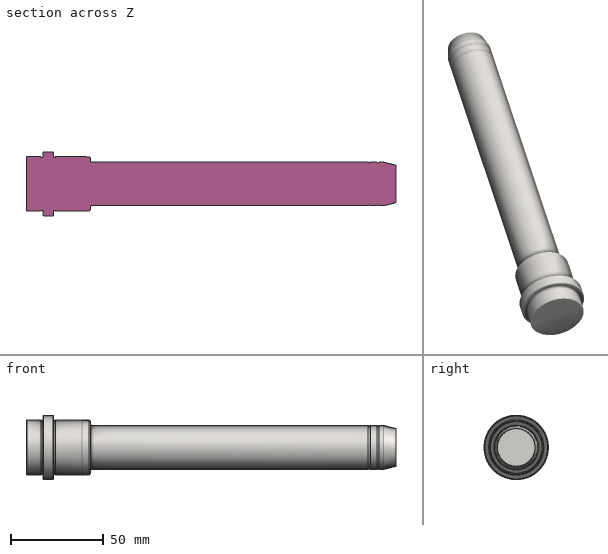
import cadquery as cq
import math

total_length = 201.0

head_diameter = 30.0
head_length = 35.0
head_end_chamfer = 0.8
face_chamfer = 0.5
lead_start = 30.2
lead_diameter = 29.7

flange_diameter = 35.0
flange_start = 9.0
flange_end = 14.9
flange_chamfer = 0.5
undercut_width = 1.0
undercut_depth = 0.5

shank_diameter = 24.0
groove_depth = 0.5
groove_width = 1.2
groove_starts = (185.7, 190.5)
root_fillet = 0.5
tip_length = 6.8
tip_angle = 14.0


def turned(points):
    """Solid of revolution about X from (x, radius) points that begin and end on the axis."""
    return cq.Workplane("XY").polyline(points).close().revolve(360, (0, 0, 0), (1, 0, 0))


def round_groove(start, width, depth, outer_diameter):
    """Ring of material to cut away for a groove with an arc-shaped floor."""
    rim = outer_diameter / 2
    end = start + width
    section = cq.Workplane("XY").moveTo(start, rim)
    section = section.threePointArc((start + width / 2, rim - depth), (end, rim))
    section = section.lineTo(end, rim + depth).lineTo(start, rim + depth).close()
    return section.revolve(360, (0, 0, 0), (1, 0, 0))


def make_head():
    head_radius = head_diameter / 2
    head = turned([
        (0, 0),
        (0, head_radius - face_chamfer),
        (face_chamfer, head_radius),
        (lead_start, head_radius),
        (head_length, lead_diameter / 2),
        (head_length, 0),
    ])
    head = head.faces(">X").edges().chamfer(head_end_chamfer)
    for undercut_start in (flange_start - undercut_width, flange_end):
        head = head.cut(round_groove(undercut_start, undercut_width, undercut_depth, head_diameter))
    return head


def make_flange():
    flange = cq.Workplane("YZ").workplane(offset=flange_start).circle(flange_diameter / 2)
    return flange.extrude(flange_end - flange_start).edges().chamfer(flange_chamfer)


def make_shank():
    shank_radius = shank_diameter / 2
    tip_radius = shank_radius - tip_length * math.tan(math.radians(tip_angle))
    shank = turned([
        (0, 0),
        (0, shank_radius),
        (total_length - tip_length, shank_radius),
        (total_length, tip_radius),
        (total_length, 0),
    ])
    for groove_start in groove_starts:
        shank = shank.cut(round_groove(groove_start, groove_width, groove_depth, shank_diameter))
    return shank


def at_shank_root(pin):
    """The circular corner where the shank leaves the end face of the head."""
    reach = shank_diameter / 2 + root_fillet
    margin = root_fillet / 2
    corner_box = cq.selectors.BoxSelector(
        (head_length - margin, -reach, -reach),
        (head_length + margin, reach, reach),
        boundingbox=True,
    )
    return pin.edges(corner_box)


pin = make_head().union(make_flange()).union(make_shank())
result = at_shank_root(pin).fillet(root_fillet)